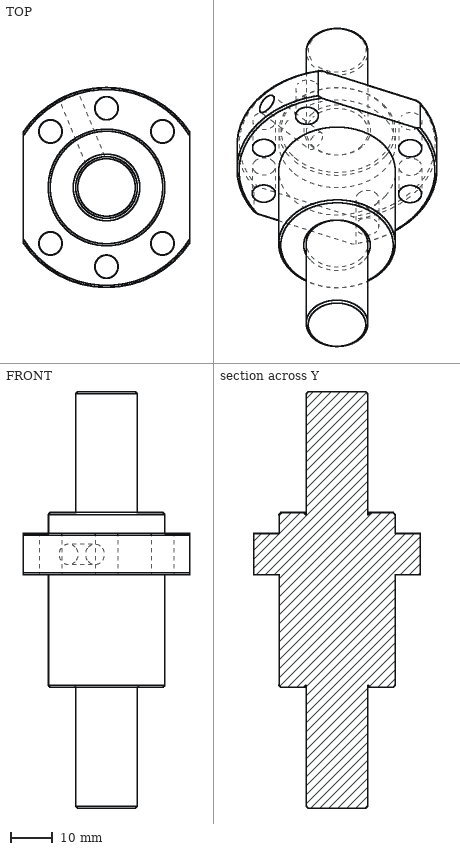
import cadquery as cq
import math

shaft_length = 100.0
shaft_diameter = 14.8
shaft_chamfer = 0.5

nut_length = 42.0
nut_diameter = 28.0
nut_chamfer = 0.5
bore_mouth_diameter = 16.0
bore_mouth_depth = (bore_mouth_diameter - shaft_diameter) / 2

flange_diameter = 48.0
flange_width = 40.0
flange_thickness = 10.0
flange_chamfer = 0.5
nose_height = 5.0
flange_top = nut_length / 2 - nose_height
flange_bottom = flange_top - flange_thickness

bolt_circle_diameter = 38.0
bolt_hole_diameter = 5.5
bolt_hole_angles = (45, 90, 135, 225, 270, 315)

oil_hole_diameter = 4.9
oil_hole_angle = (90 + 135) / 2


def chamfered_cylinder(diameter, bottom, length, chamfer):
    """Upright cylinder with both rims chamfered."""
    cylinder = cq.Workplane("XY").workplane(offset=bottom).circle(diameter / 2).extrude(length)
    return cylinder.edges("%CIRCLE").chamfer(chamfer)


def make_flange():
    """Round flange trimmed by two flats and drilled for the mounting screws."""
    disc = chamfered_cylinder(flange_diameter, flange_bottom, flange_thickness, flange_chamfer)
    trim = (
        cq.Workplane("XY")
        .workplane(offset=flange_bottom)
        .rect(flange_width, flange_diameter)
        .extrude(flange_thickness)
    )
    bolt_radius = bolt_circle_diameter / 2
    bolt_centres = [
        (bolt_radius * math.cos(math.radians(angle)), bolt_radius * math.sin(math.radians(angle)))
        for angle in bolt_hole_angles
    ]
    bolt_holes = (
        cq.Workplane("XY")
        .workplane(offset=flange_bottom)
        .pushPoints(bolt_centres)
        .circle(bolt_hole_diameter / 2)
        .extrude(flange_thickness)
    )
    return disc.intersect(trim).cut(bolt_holes)


def make_oil_hole():
    """Radial drill from the flange rim inward to the shaft surface."""
    angle = math.radians(oil_hole_angle)
    outward = cq.Vector(math.cos(angle), math.sin(angle), 0)
    start = outward * (shaft_diameter / 2) + cq.Vector(0, 0, (flange_top + flange_bottom) / 2)
    drill_length = (flange_diameter - shaft_diameter) / 2
    return cq.Solid.makeCylinder(oil_hole_diameter / 2, drill_length, start, outward)


def make_bore_mouth():
    """Conical countersink at the upper end of the nut bore."""
    return cq.Workplane(
        cq.Solid.makeCone(
            shaft_diameter / 2,
            bore_mouth_diameter / 2,
            bore_mouth_depth,
            cq.Vector(0, 0, nut_length / 2 - bore_mouth_depth),
        )
    )


nut = chamfered_cylinder(nut_diameter, -nut_length / 2, nut_length, nut_chamfer).union(make_flange())
top_mouth = make_bore_mouth()
nut = nut.cut(top_mouth).cut(top_mouth.mirror("XY")).cut(make_oil_hole())

shaft = chamfered_cylinder(shaft_diameter, -shaft_length / 2, shaft_length, shaft_chamfer)
result = nut.union(shaft)